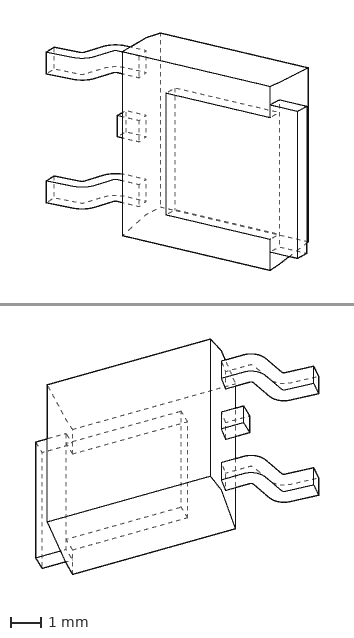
import cadquery as cq
import math


overall_length = 9.9
overall_depth = 2.65
overall_height = 6.53

housing_depth = 2.52
crest_y = 1.8
housing_length = 6.08
lead_side_draft = math.radians(7.6)
tab_side_draft = math.radians(4)
flank_draft = math.radians(4)

tab_thickness = 0.56
tab_head_height = 5.22
tab_stem_height = 4.32
tab_stem_length = 4.12

lead_thickness = 0.535
side_lead_width = 0.78
middle_lead_width = 0.755
lead_pitch = 2.285
lead_straight = 0.8
lead_reach = 2.73
bend_inner_radius = 0.1
rise_angle = math.radians(74)
foot_angle = math.radians(4)

lead_center_y = crest_y - lead_thickness / 2
bend_radius = bend_inner_radius + lead_thickness / 2
foot_drop = overall_depth - housing_depth


def build_housing_blank():
    """Side profile extruded over the full height, with both flanks drafted."""
    lower_setback = crest_y * math.tan(lead_side_draft)
    upper_setback = (housing_depth - crest_y) * math.tan(lead_side_draft)
    tab_side_setback = (housing_depth - tab_thickness) * math.tan(tab_side_draft)
    side_profile = (
        cq.Workplane("XY")
        .moveTo(lower_setback, 0)
        .lineTo(housing_length, 0)
        .lineTo(housing_length, tab_thickness)
        .lineTo(housing_length - tab_side_setback, housing_depth)
        .lineTo(upper_setback, housing_depth)
        .lineTo(0, crest_y)
        .close()
        .extrude(overall_height / 2, both=True)
    )
    half_base = overall_height / 2
    half_top = half_base - housing_depth * math.tan(flank_draft)
    flank_envelope = (
        cq.Workplane("YZ")
        .polyline([
            (0, -half_base),
            (housing_depth, -half_top),
            (housing_depth, half_top),
            (0, half_base),
        ])
        .close()
        .extrude(housing_length)
    )
    return side_profile.intersect(flank_envelope)


def build_tab():
    """T-shaped plate: a stem inside the housing and a wider head outside it."""
    head_length = overall_length - lead_reach - housing_length
    stem = (
        cq.Workplane("XY")
        .box(tab_stem_length, tab_thickness, tab_stem_height, centered=(False, False, True))
        .translate((housing_length - tab_stem_length, 0, 0))
    )
    head = (
        cq.Workplane("XY")
        .box(head_length, tab_thickness, tab_head_height, centered=(False, False, True))
        .translate((housing_length, 0, 0))
    )
    return stem.union(head)


def step(point, length, angle):
    """Point reached by going a length towards -X while sloping down towards -Y."""
    return (point[0] - length * math.cos(angle), point[1] - length * math.sin(angle))


def bend_point(center, angle, side):
    """Point on a bend where the lead slopes at an angle; side is +1 above the center, -1 below it."""
    return (
        center[0] - side * bend_radius * math.sin(angle),
        center[1] + side * bend_radius * math.cos(angle),
    )


def build_side_lead(z, start_x, housing_blank):
    """Gull-wing lead swept along its center line and trimmed where it meets the housing."""
    bends_run = bend_radius * (2 * math.sin(rise_angle) - math.sin(foot_angle))
    bends_drop = bend_radius * (1 - 2 * math.cos(rise_angle) + math.cos(foot_angle))
    tip_run = lead_thickness / 2 * math.sin(foot_angle)
    tip_drop = lead_thickness / 2 * math.cos(foot_angle)
    straights_run = lead_reach - lead_straight - bends_run - tip_run
    straights_drop = lead_center_y + foot_drop - bends_drop - tip_drop
    turn = math.sin(rise_angle - foot_angle)
    riser_length = (straights_drop * math.cos(foot_angle) - straights_run * math.sin(foot_angle)) / turn
    foot_length = (straights_run * math.sin(rise_angle) - straights_drop * math.cos(rise_angle)) / turn

    upper_center = (-lead_straight, lead_center_y - bend_radius)
    riser_top = bend_point(upper_center, rise_angle, 1)
    riser_bottom = step(riser_top, riser_length, rise_angle)
    lower_center = (
        riser_bottom[0] - bend_radius * math.sin(rise_angle),
        riser_bottom[1] + bend_radius * math.cos(rise_angle),
    )
    mid_angle = (rise_angle + foot_angle) / 2
    foot_start = bend_point(lower_center, foot_angle, -1)
    foot_tip = step(foot_start, foot_length, foot_angle)

    center_line = (
        cq.Workplane("XY")
        .moveTo(start_x, lead_center_y)
        .lineTo(-lead_straight, lead_center_y)
        .threePointArc(bend_point(upper_center, rise_angle / 2, 1), riser_top)
        .lineTo(*riser_bottom)
        .threePointArc(bend_point(lower_center, mid_angle, -1), foot_start)
        .lineTo(*foot_tip)
    )
    lead = (
        cq.Workplane("YZ", origin=(start_x, lead_center_y, 0))
        .rect(lead_thickness, side_lead_width)
        .sweep(center_line)
    )
    return lead.translate((0, 0, z)).cut(housing_blank)


def build_middle_lead(end_x, housing_blank):
    """Short straight stub of the cut-off lead, trimmed where it meets the housing."""
    stub = (
        cq.Workplane("XY")
        .box(lead_straight + end_x, lead_thickness, middle_lead_width, centered=(False, True, True))
        .translate((-lead_straight, lead_center_y, 0))
    )
    return stub.cut(housing_blank)


housing_blank = build_housing_blank()
tab = build_tab()
housing = housing_blank.cut(tab)

lead_root_x = lead_thickness * math.tan(lead_side_draft)
side_leads = [build_side_lead(z, lead_root_x, housing_blank) for z in (-lead_pitch, lead_pitch)]
middle_lead = build_middle_lead(lead_root_x, housing_blank)

result = cq.Compound.makeCompound([
    housing.val(),
    tab.val(),
    *[lead.val() for lead in side_leads],
    middle_lead.val(),
])